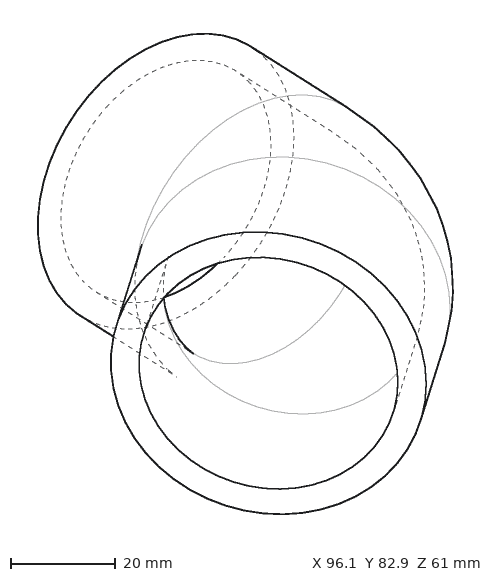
import cadquery as cq
import math

overall_length = 96.1
outer_diameter = 61.0
bore_diameter = 50.0
bend_angle = 45.0

axis_clearance = 0.02
bend_radius = outer_diameter / 2 + axis_clearance
bend = math.radians(bend_angle)

outermost_radius = bend_radius + outer_diameter / 2
leg_length = (overall_length - outermost_radius * math.sin(bend)) / (1 + math.cos(bend))

pivot = (0, -bend_radius, 0)
pivot_axis_end = (0, -bend_radius, 1)


def elbow(diameter):
    """Solid round bar along the elbow: straight leg, bend, straight leg."""
    section = cq.Workplane("YZ").circle(diameter / 2)
    inlet_leg = cq.Workplane("YZ").circle(diameter / 2).extrude(-leg_length)
    bend_body = section.revolve(bend_angle, (-bend_radius, 0), (-bend_radius, -1))
    outlet_leg = (
        cq.Workplane("YZ")
        .circle(diameter / 2)
        .extrude(leg_length)
        .rotate(pivot, pivot_axis_end, -bend_angle)
    )
    return inlet_leg.union(bend_body).union(outlet_leg)


result = elbow(outer_diameter).cut(elbow(bore_diameter))